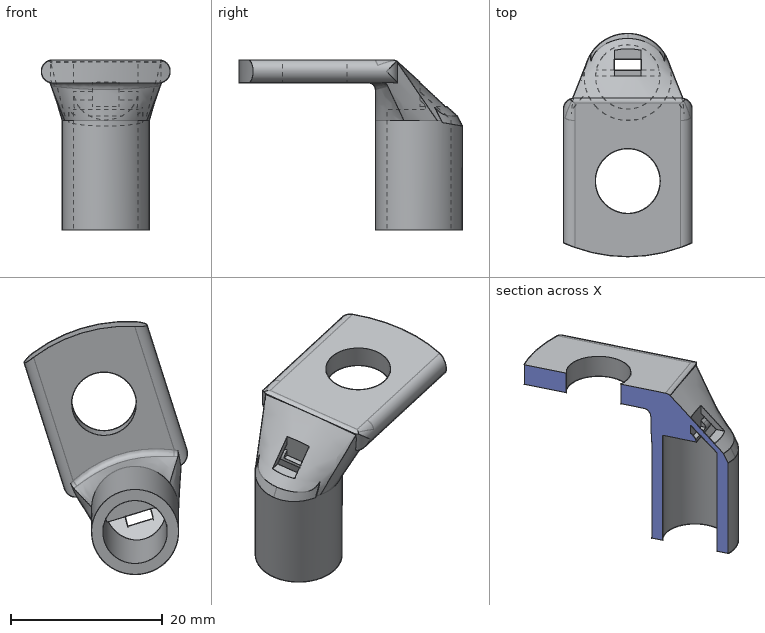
import cadquery as cq
import math

length = 29.45
width = 17.0
height = 22.45

barrel_radius = 5.75
barrel_height = 14.43
wall = 1.5
bore_radius = barrel_radius - wall
barrel_y = length / 2 - barrel_radius
barrel_front_y = barrel_y - barrel_radius
bore_front_y = barrel_y - bore_radius
bore_back_y = barrel_y + bore_radius

palm_thickness = 3.03
palm_bottom = height - palm_thickness
palm_middle = height - palm_thickness / 2
palm_tip_y = -length / 2
palm_back_y = 6.18
tip_sagitta = 1.85
palm_corner_radius = 1.47
stud_hole_diameter = 8.5
stud_hole_y = -4.75

neck_front_half_width = 8.55
neck_back_half_width = 7.35
back_corner_angle = 25.0
front_corner_angle = -20.0
slope_top_y = 5.92
slope_angle = 42.0
slope = math.tan(math.radians(slope_angle))
top_edge_radius = 1.03

shoulder_start_z = 13.72
shoulder_inset = 0.77
shoulder_rise = 1.5
shoulder_tilt = 10.0
shoulder_front_y = 12.07

underside_radius = 0.88

roof_start_z = 14.55
lip_y = 9.9
lip_radius = 1.18
lip_z = 15.9

window_width = 3.53
window_bottom = 16.3
window_top = 19.67
window_front_y = 9.1


def nearest_edge(x, y, z):
    return cq.selectors.NearestToPointSelector((x, y, z))


def barrel_point(angle):
    """Point on the barrel's outer circle, angle in degrees from +X."""
    a = math.radians(angle)
    return (barrel_radius * math.cos(a), barrel_y + barrel_radius * math.sin(a))


def make_barrel():
    return cq.Workplane("XY").center(0, barrel_y).circle(barrel_radius).extrude(barrel_height)


def make_neck():
    angles = (
        back_corner_angle,
        180 - back_corner_angle,
        180 - front_corner_angle,
        360 + front_corner_angle,
        360 + back_corner_angle,
    )
    circle = cq.Workplane("XY", origin=(0, 0, barrel_height)).moveTo(*barrel_point(angles[0]))
    for start, end in zip(angles, angles[1:]):
        circle = circle.threePointArc(barrel_point((start + end) / 2), barrel_point(end))
    rectangle = cq.Workplane("XY", origin=(0, 0, height)).polyline([
        (neck_back_half_width, slope_top_y),
        (-neck_back_half_width, slope_top_y),
        (-neck_front_half_width, barrel_front_y),
        (neck_front_half_width, barrel_front_y),
    ])
    wires = [circle.close().val(), rectangle.close().val()]
    return cq.Workplane(obj=cq.Solid.makeLoft(wires, True))


def make_side_rounding():
    """Long bar with the palm's cross-section, running along Y."""
    return (
        cq.Workplane("XZ", origin=(0, length, palm_middle))
        .slot2D(width, palm_thickness)
        .extrude(2 * length)
    )


def make_palm():
    half_width = width / 2
    side_end_y = palm_tip_y + tip_sagitta
    plan = (
        cq.Workplane("XY", origin=(0, 0, palm_bottom))
        .moveTo(half_width, palm_back_y)
        .lineTo(-half_width, palm_back_y)
        .lineTo(-half_width, side_end_y)
        .threePointArc((0, palm_tip_y), (half_width, side_end_y))
        .close()
        .extrude(palm_thickness)
        .edges("|Z and >Y")
        .fillet(palm_corner_radius)
    )
    return plan.intersect(make_side_rounding())


def make_slope_envelope():
    """Everything below the palm's top face and the slope, with the ridge rounded."""
    return (
        cq.Workplane("YZ")
        .moveTo(-length, 0)
        .lineTo(length / 2, 0)
        .lineTo(length / 2, height - (length / 2 - slope_top_y) * slope)
        .lineTo(slope_top_y, height)
        .lineTo(-length, height)
        .close()
        .extrude(width, both=True)
        .edges(nearest_edge(0, slope_top_y, height))
        .fillet(top_edge_radius)
    )


def make_cavity():
    def lip_point(turn):
        """Point on the rounded lip, turn in degrees up from its rearmost point."""
        a = math.radians(turn)
        return (lip_y - lip_radius * (1 - math.cos(a)), lip_z + lip_radius * math.sin(a))

    lip_turn = 90 - slope_angle
    lip_end = lip_point(lip_turn)
    roof_end_z = roof_start_z + (bore_back_y - window_front_y) * slope
    lip_top_z = lip_end[1] + (lip_end[0] - window_front_y) * slope
    side_profile = (
        cq.Workplane("YZ")
        .moveTo(bore_front_y, 0)
        .lineTo(bore_back_y, 0)
        .lineTo(bore_back_y, roof_start_z)
        .lineTo(window_front_y, roof_end_z)
        .lineTo(window_front_y, lip_top_z)
        .lineTo(*lip_end)
        .threePointArc(lip_point(lip_turn / 2), (lip_y, lip_z))
        .lineTo(bore_front_y, lip_z)
        .close()
        .extrude(barrel_radius, both=True)
    )
    bore = cq.Workplane("XY").center(0, barrel_y).circle(bore_radius).extrude(height)
    return bore.intersect(side_profile)


def make_window():
    depth = length / 2 - window_front_y
    return (
        cq.Workplane("XY", origin=(0, window_front_y + depth / 2, window_bottom))
        .rect(window_width, depth)
        .extrude(window_top - window_bottom)
    )


def make_stud_hole():
    return (
        cq.Workplane("XY", origin=(0, stud_hole_y, palm_bottom))
        .circle(stud_hole_diameter / 2)
        .extrude(palm_thickness)
    )


def make_shoulder_cut():
    """Bevel along the back rim: a slightly tilted plate, holed by the barrel's elliptical
    section and swept along the bevel."""
    tilt = math.radians(shoulder_tilt)
    plate_front = (shoulder_front_y - barrel_y) / math.cos(tilt)
    plate_back = 2 * barrel_radius
    center_z = shoulder_start_z + barrel_radius * math.tan(tilt)
    plane = cq.Plane(
        origin=(0, barrel_y, center_z),
        xDir=(1, 0, 0),
        normal=(0, math.sin(tilt), math.cos(tilt)),
    )
    plate = (
        cq.Workplane(plane)
        .center(0, (plate_front + plate_back) / 2)
        .rect(2 * width, plate_back - plate_front)
        .val()
    )
    barrel_section = cq.Workplane(plane).ellipse(barrel_radius, barrel_radius / math.cos(tilt)).val()
    face = cq.Face.makeFromWires(plate).cut(cq.Face.makeFromWires(barrel_section)).Faces()[0]
    rise = cq.Vector(0, -2 * shoulder_inset, 2 * shoulder_rise)
    return cq.Workplane(obj=cq.Solid.extrudeLinear(face, rise))


def make_side_envelope():
    """Leaves the neck free below the palm's middle and inside the rounded sides above it."""
    lower = cq.Workplane("XY").box(2 * width, 2 * length, palm_middle, centered=(True, True, False))
    return lower.union(make_side_rounding())


neck = make_barrel().union(make_neck())
neck = neck.cut(make_shoulder_cut())
neck = neck.intersect(make_side_envelope())
result = neck.union(make_palm()).intersect(make_slope_envelope())
result = result.edges(nearest_edge(0, barrel_front_y, palm_bottom)).fillet(underside_radius)
result = result.cut(make_cavity()).cut(make_window()).cut(make_stud_hole())